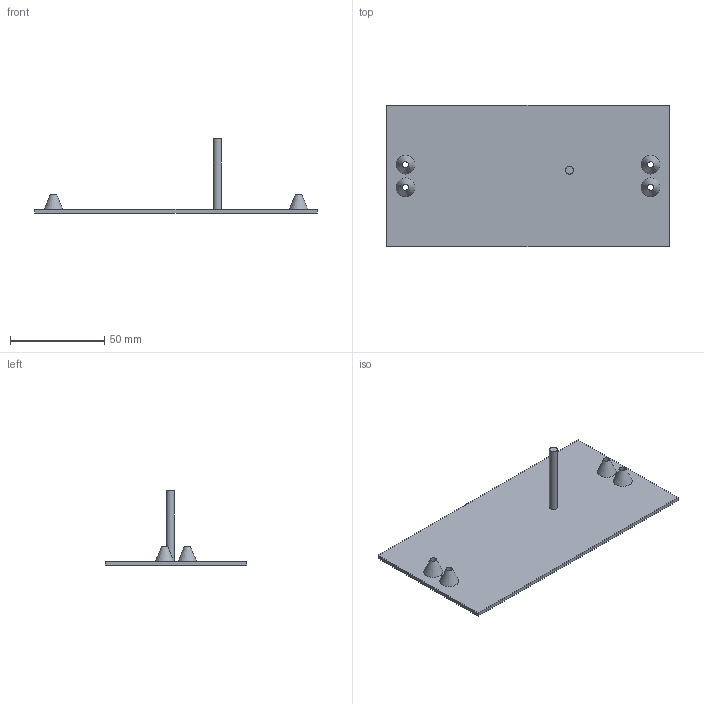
import cadquery as cq

plate_length = 150.0
plate_width = 75.0
plate_thickness = 2.0

overall_height = 39.5
pin_diameter = 4.25
pin_x = 22.0
pin_y = 3.0

cone_base_diameter = 10.0
cone_hole_diameter = 3.2
cone_top_diameter = cone_hole_diameter
cone_height = 8.0
cone_end_margin = 10.0
cone_pair_spacing = 12.0

cone_x = plate_length / 2 - cone_end_margin
cone_y = cone_pair_spacing / 2
cone_centres = [(x, y) for x in (-cone_x, cone_x) for y in (-cone_y, cone_y)]


def make_plate():
    """Flat rectangular plate."""
    plate = cq.Workplane("XY").rect(plate_length, plate_width)
    return plate.extrude(plate_thickness)


def make_pin():
    """Plain round pin, running from the plate underside to the overall height."""
    return cq.Workplane("XY").center(pin_x, pin_y).circle(pin_diameter / 2).extrude(overall_height)


def make_cone(centre):
    """Truncated cone standing on the plate."""
    x, y = centre
    cone = cq.Solid.makeCone(
        cone_base_diameter / 2,
        cone_top_diameter / 2,
        cone_height,
        pnt=cq.Vector(x, y, plate_thickness),
    )
    return cq.Workplane(obj=cone)


def make_cone_holes():
    """Straight bores through the cones and the plate beneath them."""
    bore_depth = plate_thickness + cone_height
    return cq.Workplane("XY").pushPoints(cone_centres).circle(cone_hole_diameter / 2).extrude(bore_depth)


body = make_plate().union(make_pin())
for cone_centre in cone_centres:
    body = body.union(make_cone(cone_centre))

result = body.cut(make_cone_holes())